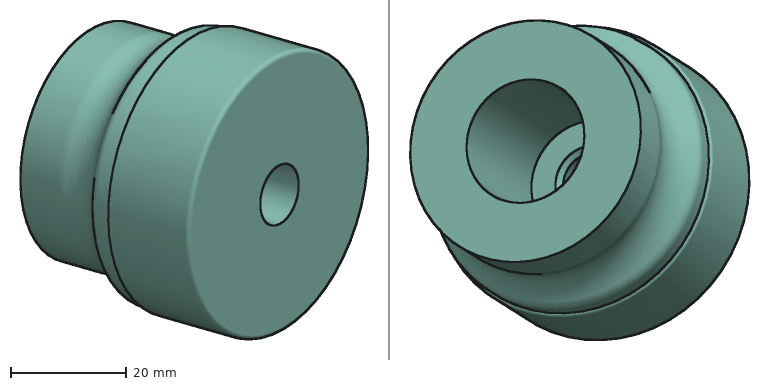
import cadquery as cq
import math


total_length = 40.0
nose_length = 8.4
shoulder_x = 22.2

nose_radius = 21.55
rim_radius = 25.3
body_radius = 25.95

nose_blend_radius = 5.0
groove_radius = 7.0
groove_center_x = 11.85
wall_angle = math.radians(55.0)
rim_blend_radius = 2.0

shoulder_fillet = 0.5
rear_fillet = 0.8

counterbore_radius = 11.0
counterbore_depth = 30.0
hole_radius = 5.5
hole_chamfer = 1.0


def point_on_arc(center, radius, angle):
    """Point at a given angle, measured from the +X axis toward +radius."""
    return (center[0] + radius * math.cos(angle), center[1] + radius * math.sin(angle))


def make_body():
    """Revolve the outer outline, drawn as (X, radius), about the X axis."""
    nose_center = (nose_length, nose_radius - nose_blend_radius)
    center_distance = nose_blend_radius + groove_radius
    lean = math.asin((groove_center_x - nose_length) / center_distance)
    groove_center = (groove_center_x, nose_center[1] + center_distance * math.cos(lean))

    up = math.pi / 2
    down = -math.pi / 2
    nose_arc_mid = point_on_arc(nose_center, nose_blend_radius, up - lean / 2)
    nose_arc_end = point_on_arc(nose_center, nose_blend_radius, up - lean)
    groove_mid = point_on_arc(groove_center, groove_radius, down + (wall_angle - lean) / 2)
    groove_end = point_on_arc(groove_center, groove_radius, down + wall_angle)

    rim_center_radius = rim_radius - rim_blend_radius
    flank_end_radius = rim_center_radius + rim_blend_radius * math.cos(wall_angle)
    flank_end_x = groove_end[0] + (flank_end_radius - groove_end[1]) / math.tan(wall_angle)
    rim_center = (flank_end_x + rim_blend_radius * math.sin(wall_angle), rim_center_radius)
    rim_arc_mid = point_on_arc(rim_center, rim_blend_radius, up + wall_angle / 2)
    rim_arc_end = point_on_arc(rim_center, rim_blend_radius, up)

    shoulder_center = (shoulder_x + shoulder_fillet, body_radius - shoulder_fillet)
    rear_center = (total_length - rear_fillet, body_radius - rear_fillet)
    eighth_turn = math.pi / 4

    outline = (
        cq.Workplane("XZ")
        .moveTo(0, 0)
        .lineTo(0, nose_radius)
        .lineTo(nose_length, nose_radius)
        .threePointArc(nose_arc_mid, nose_arc_end)
        .threePointArc(groove_mid, groove_end)
        .lineTo(flank_end_x, flank_end_radius)
        .threePointArc(rim_arc_mid, rim_arc_end)
        .lineTo(shoulder_x, rim_radius)
        .lineTo(shoulder_x, shoulder_center[1])
        .threePointArc(
            point_on_arc(shoulder_center, shoulder_fillet, up + eighth_turn),
            (shoulder_center[0], body_radius),
        )
        .lineTo(rear_center[0], body_radius)
        .threePointArc(
            point_on_arc(rear_center, rear_fillet, up - eighth_turn),
            (total_length, rear_center[1]),
        )
        .lineTo(total_length, 0)
        .close()
    )
    return outline.revolve(360, (0, 0, 0), (1, 0, 0))


def make_bore():
    """Counterbore from the front, then a chamfered through hole."""
    outline = (
        cq.Workplane("XZ")
        .moveTo(0, 0)
        .lineTo(0, counterbore_radius)
        .lineTo(counterbore_depth, counterbore_radius)
        .lineTo(counterbore_depth, hole_radius + hole_chamfer)
        .lineTo(counterbore_depth + hole_chamfer, hole_radius)
        .lineTo(total_length, hole_radius)
        .lineTo(total_length, 0)
        .close()
    )
    return outline.revolve(360, (0, 0, 0), (1, 0, 0))


result = make_body().cut(make_bore())